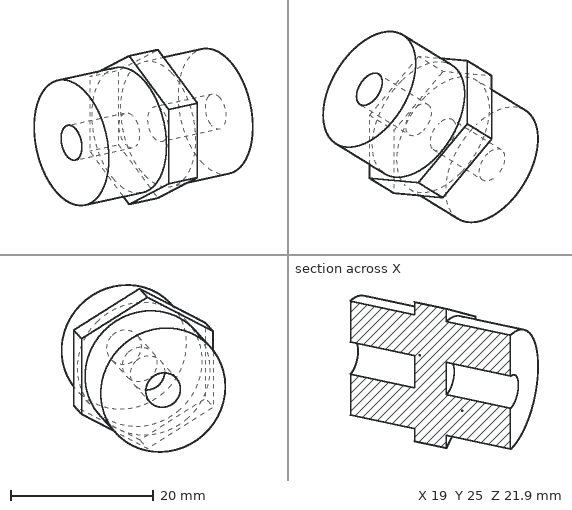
import cadquery as cq
import math

length = 25.0
body_diameter = 18.0
hex_across_flats = 19.0
hex_thickness = 5.0
bore_diameter = 5.0

bore_depth = (length - hex_thickness) / 2
hex_across_corners = hex_across_flats / math.cos(math.radians(30))


def plane_facing_front(y):
    """Plane across the part at the given Y, with its normal along -Y."""
    return cq.Workplane("XZ", origin=(0, y, 0))


def make_body():
    return plane_facing_front(0).circle(body_diameter / 2).extrude(length / 2, both=True)


def make_hexagon():
    """Hexagonal collar with corners up and down and flats on the X sides."""
    return (
        plane_facing_front(0)
        .transformed(rotate=(0, 0, 90))
        .polygon(6, hex_across_corners)
        .extrude(hex_thickness / 2, both=True)
    )


def make_front_bore():
    front_y = -length / 2
    return plane_facing_front(front_y).circle(bore_diameter / 2).extrude(-bore_depth)


front_bore = make_front_bore()
back_bore = front_bore.mirror("XZ")

result = make_body().union(make_hexagon()).cut(front_bore).cut(back_bore)